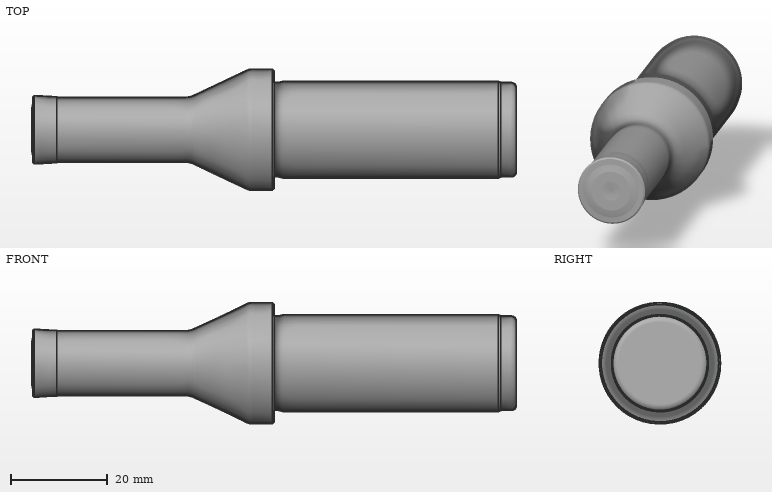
import cadquery as cq
import math

total_length = 100.0
joint_x = 5.2
neck_end_x = 31.7
collar_face_x = 50.0
collar_bevel = 0.4

head_diameter = 14.1
head_back_diameter = 13.6
head_face_x = 0.3
head_bevel = 0.3
boss_base_radius = 5.6
boss_tip_radius = 4.1
dimple_radius = 2.0
dimple_depth = 0.2

neck_diameter = 13.4
collar_diameter = 25.0
cone_half_angle = math.radians(26.5)
neck_blend_radius = 4.5
collar_blend_radius = 2.5
collar_blend_end_x = 45.5

shank_diameter = 20.0
relief_diameter = 19.5
relief_end_x = 51.0
shank_start_x = 52.0
shank_end_x = 96.2
tail_start_x = 96.8
tail_fillet = 1.2

neck_radius = neck_diameter / 2
collar_radius = collar_diameter / 2
shank_radius = shank_diameter / 2
relief_radius = relief_diameter / 2


def revolve_about_x(profile):
    """Turn a closed X-radius profile into a solid around the X axis."""
    return profile.close().revolve(360, (0, 0, 0), (1, 0, 0))


def arc_offset(radius, angle):
    """Axial and radial travel along an arc that starts parallel to the axis."""
    return radius * math.sin(angle), radius * (1 - math.cos(angle))


def make_head():
    """Cutting head with a raised, dimpled face and a tapered back."""
    head_radius = head_diameter / 2
    return revolve_about_x(
        cq.Workplane("XY")
        .moveTo(dimple_depth, 0)
        .lineTo(0, dimple_radius)
        .lineTo(0, boss_tip_radius)
        .lineTo(head_face_x, boss_base_radius)
        .lineTo(head_face_x, head_radius - head_bevel)
        .lineTo(head_face_x + head_bevel, head_radius)
        .lineTo(joint_x, head_back_diameter / 2)
        .lineTo(joint_x, 0)
    )


def make_holder():
    """Neck, blended cone, collar and relieved cylindrical shank."""
    half_dx, half_dr = arc_offset(neck_blend_radius, cone_half_angle / 2)
    blend_dx, blend_dr = arc_offset(neck_blend_radius, cone_half_angle)
    top_half_dx, top_half_dr = arc_offset(collar_blend_radius, cone_half_angle / 2)
    top_dx, top_dr = arc_offset(collar_blend_radius, cone_half_angle)
    cone_start = (neck_end_x + blend_dx, neck_radius + blend_dr)
    cone_end = (collar_blend_end_x - top_dx, collar_radius - top_dr)
    return revolve_about_x(
        cq.Workplane("XY")
        .moveTo(joint_x, 0)
        .lineTo(joint_x, neck_radius)
        .lineTo(neck_end_x, neck_radius)
        .threePointArc((neck_end_x + half_dx, neck_radius + half_dr), cone_start)
        .lineTo(*cone_end)
        .threePointArc(
            (collar_blend_end_x - top_half_dx, collar_radius - top_half_dr),
            (collar_blend_end_x, collar_radius),
        )
        .lineTo(collar_face_x - collar_bevel, collar_radius)
        .lineTo(collar_face_x, collar_radius - collar_bevel)
        .lineTo(collar_face_x, relief_radius)
        .lineTo(relief_end_x, relief_radius)
        .lineTo(shank_start_x, shank_radius)
        .lineTo(shank_end_x, shank_radius)
        .lineTo(tail_start_x, relief_radius)
        .lineTo(total_length, relief_radius)
        .lineTo(total_length, 0)
    ).faces(">X").edges().fillet(tail_fillet)


head = make_head()
holder = make_holder()

result = cq.Compound.makeCompound([head.val(), holder.val()])